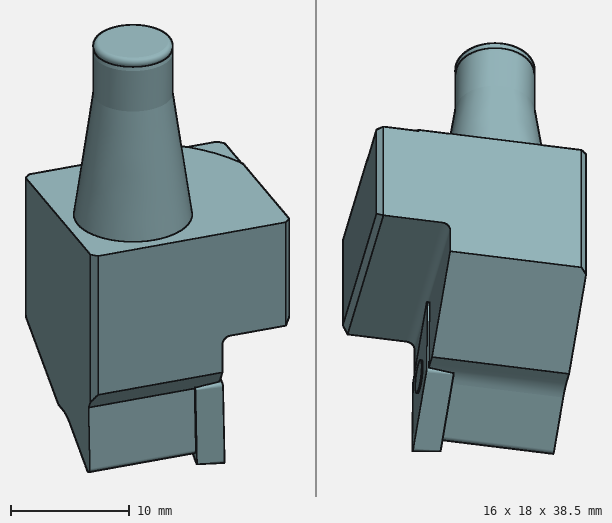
import cadquery as cq
import math

block_width = 16.0
block_depth = 18.0
edge_chamfer = 0.5
total_height = 38.5
shank_height = 16.48
lowest_z = shank_height - total_height

shank_x = 10.0
shank_y = 6.0
shank_base_radius = 5.0
shank_tip_radius = 6.75 / 2
taper_height = 11.55
groove_start = 15.4
groove_bottom = 15.75
groove_depth = 0.08
rim_bulge_height = 16.1
end_face_radius = 2.95

seat_radius = 13.13
corner_drop = 0.1

left_side_bottom = -12.9
flat_z = -17.9
flat_start_x = 8.1
right_side_bottom = -13.2
right_notch_angle = 30.0
support_setback = 0.55
support_tip_radius = 0.45
support_root_radius = 3.08

step_y = 11.8
step_z = -9.85
step_fillet = 0.7

insert_angle = 55.0
insert_tilt = 3.0
inscribed_radius = 3.175
nose_radius = 0.4
insert_thickness = 2.4
relief_angle = 7.0
insert_projection = 0.2
boss_diameter = 2.8
boss_height = 0.1

half_angle = math.radians(insert_angle / 2)
axis_angle = math.radians(insert_tilt + insert_angle / 2)
nose_distance = (inscribed_radius - nose_radius) / math.sin(half_angle)
insert_x = block_width - nose_radius - nose_distance * math.sin(axis_angle)
insert_z = lowest_z + nose_radius + nose_distance * math.cos(axis_angle)
insert_face_y = step_y + insert_projection


def rhombus_corners(radius):
    """Corners (X, Z) of the insert rhombus around an inscribed circle: tip, right, top, left."""
    long_half = radius / math.sin(half_angle)
    short_half = radius / math.cos(half_angle)
    along = (math.sin(axis_angle), -math.cos(axis_angle))
    across = (math.cos(axis_angle), math.sin(axis_angle))
    return [
        (insert_x + long_half * along[0], insert_z + long_half * along[1]),
        (insert_x + short_half * across[0], insert_z + short_half * across[1]),
        (insert_x - long_half * along[0], insert_z - long_half * along[1]),
        (insert_x - short_half * across[0], insert_z - short_half * across[1]),
    ]


def point_at_z(start, end, z):
    """Point at height z on the line through two (X, Z) points."""
    share = (z - start[1]) / (end[1] - start[1])
    return (start[0] + share * (end[0] - start[0]), z)


def edge_near(x, y, z):
    """Selector for the edge whose middle is closest to a point."""
    return cq.selectors.NearestToPointSelector((x, y, z))


def make_insert():
    """Relieved rhombic plate, largest at its +Y face, with a low round boss."""
    corners = rhombus_corners(inscribed_radius)
    outline = cq.Sketch().polygon([*corners, corners[0]]).vertices().fillet(nose_radius)
    plate = (
        cq.Workplane("XZ", origin=(0, insert_face_y, 0))
        .placeSketch(outline)
        .extrude(insert_thickness, taper=relief_angle)
    )
    boss = (
        cq.Workplane("XZ", origin=(insert_x, insert_face_y, insert_z))
        .circle(boss_diameter / 2)
        .extrude(-boss_height)
    )
    return plate.union(boss)


def make_block():
    """Block with a sloping underside and a pointed support below the insert."""
    tip, right, _, left = rhombus_corners(inscribed_radius - support_setback)
    root = point_at_z(tip, left, flat_z)
    flank_slope = (right[0] - tip[0]) / (right[1] - tip[1])
    notch_slope = math.tan(math.radians(right_notch_angle))
    flank_x = tip[0] + flank_slope * (right_side_bottom - tip[1])
    notch_drop = (block_width - flank_x) / (notch_slope - flank_slope)
    notch = (block_width - notch_slope * notch_drop, right_side_bottom - notch_drop)
    outline = [
        (0, 0),
        (block_width, 0),
        (block_width, right_side_bottom),
        notch,
        tip,
        root,
        (flat_start_x, flat_z),
        (0, left_side_bottom),
    ]
    block = cq.Workplane("XZ").polyline(outline).close().extrude(-block_depth)
    block = block.edges(edge_near(tip[0], block_depth / 2, tip[1])).fillet(support_tip_radius)
    block = block.edges(edge_near(root[0], block_depth / 2, root[1])).fillet(support_root_radius)
    step = (
        cq.Workplane("XY")
        .box(block_width, block_depth - step_y, step_z - lowest_z, centered=False)
        .translate((0, step_y, lowest_z))
        .edges("|X and <Y and >Z")
        .fillet(step_fillet)
    )
    block = block.cut(step)
    rear_edge = edge_near(block_width / 2, block_depth, step_z)
    block = block.edges(rear_edge).chamfer(edge_chamfer)
    upright = (
        cq.Workplane("XY", origin=(0, 0, lowest_z))
        .rect(block_width, block_depth, centered=False)
        .extrude(-lowest_z)
        .edges("|Z")
        .chamfer(edge_chamfer)
    )
    return block.intersect(upright)


def make_corner_cut():
    """Shallow cut over the rear left corner, outside the seating circle."""
    corner = (
        cq.Workplane("XY", origin=(0, shank_y, -corner_drop))
        .rect(shank_x, block_depth - shank_y, centered=False)
        .extrude(corner_drop)
    )
    seat = cq.Workplane("XY", origin=(shank_x, shank_y, -corner_drop)).circle(seat_radius).extrude(corner_drop)
    return corner.cut(seat)


def make_shank():
    """Tapered shank with a cylindrical end, a shallow groove and a rounded rim."""
    return (
        cq.Workplane("XZ", origin=(shank_x, shank_y, 0))
        .lineTo(shank_base_radius, 0)
        .lineTo(shank_tip_radius, taper_height)
        .lineTo(shank_tip_radius, groove_start)
        .lineTo(shank_tip_radius - groove_depth, groove_bottom)
        .threePointArc((shank_tip_radius, rim_bulge_height), (end_face_radius, shank_height))
        .lineTo(0, shank_height)
        .close()
        .revolve(360, (0, 0), (0, 1))
    )


insert = make_insert()
holder = make_block().cut(make_corner_cut()).union(make_shank()).cut(insert)

result = cq.Compound.makeCompound([holder.val(), insert.val()])